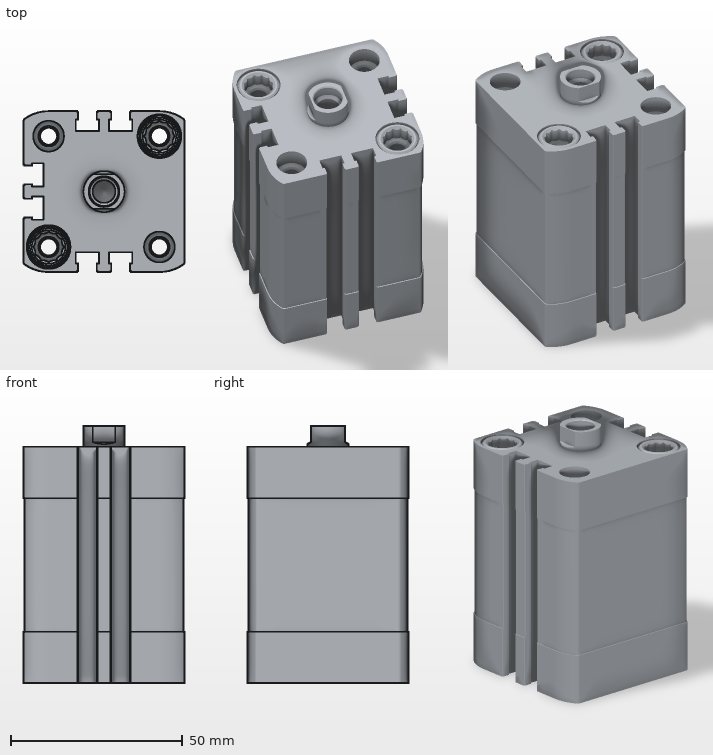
import cadquery as cq
import math

width = 47.0
housing_height = 69.0
rod_projection = 6.0
cap_height = 15.0
barrel_inset = 0.3

hole_spacing = 32.3
corner_arc_radius = 12.0
corner_edge_radius = 1.0

slot_offset = 4.85
slot_mouth_width = 5.4
slot_inner_width = 6.7
slot_lip_depth = 2.55
slot_depth = 5.8
slot_mouth_radius = 0.3

counterbore_diameter = 9.0
counterbore_depth = 5.0
thread_diameter = 4.92
thread_chamfer_diameter = 6.0

head_recess_diameter = 12.8
head_recess_depth = 1.0
head_diameter = 11.9
head_chamfer = 0.5
socket_chamfer_diameter = 9.8
socket_point_diameter = 8.9
socket_tooth_diameter = 8.2
socket_points = 12
socket_depth = 4.4
tooth_tip_width = 0.7

rod_diameter = 12.0
rod_insertion = 21.0
flat_width = 10.0
flat_length = 4.7
flat_shoulder_angle = 30.0
rod_mouth_diameter = 9.0
rod_counterbore_diameter = 8.4
rod_counterbore_depth = 3.3
rod_thread_diameter = 6.65
rod_thread_depth = 12.0
drill_tip_angle = 118.0

half_width = width / 2
hole_offset = hole_spacing / 2
rod_top = housing_height + rod_projection


def revolve_profile(points):
    """Solid of revolution about Z from (radius, z) points."""
    return cq.Workplane("XZ").polyline(points).close().revolve(360, (0, 0), (0, 1))


def slot_cutter(face, height):
    """T-slot along Z, opening toward -Y at y = -face, with rounded mouth edges."""
    mouth = slot_mouth_width / 2
    inner = slot_inner_width / 2
    flare = mouth + slot_mouth_radius
    lip_y = slot_lip_depth - half_width
    floor_y = slot_depth - half_width
    return (
        cq.Workplane("XY")
        .moveTo(-flare, -width)
        .lineTo(-flare, -face)
        .radiusArc((-mouth, slot_mouth_radius - face), slot_mouth_radius)
        .lineTo(-mouth, lip_y)
        .lineTo(-inner, lip_y)
        .lineTo(-inner, floor_y)
        .lineTo(inner, floor_y)
        .lineTo(inner, lip_y)
        .lineTo(mouth, lip_y)
        .lineTo(mouth, slot_mouth_radius - face)
        .radiusArc((flare, -face), slot_mouth_radius)
        .lineTo(flare, -width)
        .close()
        .extrude(height)
    )


def housing_section(base, height, inset):
    """One length of the housing, its outline moved inward by the inset."""
    face = half_width - inset
    radius = corner_arc_radius - inset
    centre_y = half_width - corner_arc_radius
    run = face - hole_offset
    mid_angle = math.asin(run / radius) / 2
    corner_y = centre_y + math.sqrt(radius**2 - run**2)
    mid_x = hole_offset + radius * math.sin(mid_angle)
    mid_y = centre_y + radius * math.cos(mid_angle)

    section = (
        cq.Workplane("XY")
        .moveTo(-hole_offset, face)
        .lineTo(hole_offset, face)
        .threePointArc((mid_x, mid_y), (face, corner_y))
        .lineTo(face, -corner_y)
        .threePointArc((mid_x, -mid_y), (hole_offset, -face))
        .lineTo(-hole_offset, -face)
        .threePointArc((-mid_x, -mid_y), (-face, -corner_y))
        .lineTo(-face, corner_y)
        .threePointArc((-mid_x, mid_y), (-hole_offset, face))
        .close()
        .extrude(height)
        .edges("|Z and (<X or >X)")
        .fillet(corner_edge_radius)
    )
    cutter = slot_cutter(face, height)
    for side_angle in (0, 180, -90):
        for offset in (-slot_offset, slot_offset):
            slot = cutter.translate((offset, 0, 0))
            section = section.cut(slot.rotate((0, 0, 0), (0, 0, 1), side_angle))
    return section.translate((0, 0, base))


def thread_hole(floor_depth):
    """Through hole with a chamfer at the floor of the recess above it."""
    floor_z = housing_height - floor_depth
    radius = thread_diameter / 2
    chamfer_radius = thread_chamfer_diameter / 2
    return revolve_profile([
        (0, 0),
        (radius, 0),
        (radius, floor_z - (chamfer_radius - radius)),
        (chamfer_radius, floor_z),
        (0, floor_z),
    ])


def counterbore():
    """Plain recess above a mounting hole."""
    return (
        cq.Workplane("XY", origin=(0, 0, housing_height - counterbore_depth))
        .circle(counterbore_diameter / 2)
        .extrude(counterbore_depth)
    )


def head_gap():
    """Ring-shaped gap around a screw head with a chamfered rim."""
    outer = head_recess_diameter / 2
    head = head_diameter / 2
    floor_z = housing_height - head_recess_depth
    return revolve_profile([
        (head - head_chamfer, housing_height),
        (outer, housing_height),
        (outer, floor_z),
        (head, floor_z),
        (head, housing_height - head_chamfer),
    ])


def screw_socket():
    """Twelve-point socket with blunt teeth and a conical lead-in."""
    point_radius = socket_point_diameter / 2
    tooth_radius = socket_tooth_diameter / 2
    tip_half_angle = math.asin(tooth_tip_width / 2 / tooth_radius)
    pitch = 2 * math.pi / socket_points
    outline = []
    for index in range(socket_points):
        point_angle = index * pitch
        tooth_angle = point_angle + pitch / 2
        for radius, angle in (
            (point_radius, point_angle),
            (tooth_radius, tooth_angle - tip_half_angle),
            (tooth_radius, tooth_angle + tip_half_angle),
        ):
            outline.append((radius * math.cos(angle), radius * math.sin(angle)))
    socket = (
        cq.Workplane("XY", origin=(0, 0, housing_height - socket_depth))
        .polyline(outline)
        .close()
        .extrude(socket_depth)
    )
    lead_in_radius = socket_chamfer_diameter / 2
    lead_in_end_z = housing_height - (lead_in_radius - tooth_radius)
    lead_in = revolve_profile([
        (0, housing_height),
        (lead_in_radius, housing_height),
        (tooth_radius, lead_in_end_z),
        (0, lead_in_end_z),
    ])
    return socket.union(lead_in)


def make_rod_blank():
    """Plain rod, also used to bore its seat in the housing."""
    return (
        cq.Workplane("XY", origin=(0, 0, housing_height - rod_insertion))
        .circle(rod_diameter / 2)
        .extrude(rod_insertion + rod_projection)
    )


def make_housing():
    """Barrel between two end caps, with slots, mounting holes and rod seat."""
    housing = housing_section(0, cap_height, 0)
    barrel_height = housing_height - 2 * cap_height
    housing = housing.union(housing_section(cap_height, barrel_height, barrel_inset))
    housing = housing.union(housing_section(housing_height - cap_height, cap_height, 0))

    for x_side in (-1, 1):
        for y_side in (-1, 1):
            place = (x_side * hole_offset, y_side * hole_offset, 0)
            if x_side == y_side:
                housing = housing.cut(head_gap().translate(place))
                housing = housing.cut(screw_socket().translate(place))
                floor_depth = socket_depth
            else:
                housing = housing.cut(counterbore().translate(place))
                floor_depth = counterbore_depth
            housing = housing.cut(thread_hole(floor_depth).translate(place))
    return housing.cut(make_rod_blank())


def flat_cutter():
    """Wrench flat on the -Y side of the rod, ending in a sloped shoulder."""
    flat_y = -flat_width / 2
    outer_y = -rod_diameter
    shoulder_z = rod_top - flat_length
    drop = (flat_y - outer_y) * math.tan(math.radians(flat_shoulder_angle))
    return (
        cq.Workplane("YZ")
        .polyline([
            (flat_y, rod_top),
            (flat_y, shoulder_z),
            (outer_y, shoulder_z - drop),
            (outer_y, rod_top),
        ])
        .close()
        .extrude(rod_diameter / 2, both=True)
    )


def rod_bore():
    """Chamfered mouth, counterbore, cone, tapping hole and drill tip."""
    mouth = rod_mouth_diameter / 2
    bore = rod_counterbore_diameter / 2
    thread = rod_thread_diameter / 2
    tip_length = thread / math.tan(math.radians(drill_tip_angle / 2))
    cone_z = rod_top - rod_counterbore_depth
    end_z = rod_top - rod_thread_depth
    return revolve_profile([
        (0, rod_top),
        (mouth, rod_top),
        (bore, rod_top - (mouth - bore)),
        (bore, cone_z),
        (thread, cone_z - (bore - thread)),
        (thread, end_z),
        (0, end_z - tip_length),
    ])


def make_rod():
    """Piston rod with a threaded end and two wrench flats."""
    rod = make_rod_blank().cut(rod_bore())
    for angle in (0, 180):
        rod = rod.cut(flat_cutter().rotate((0, 0, 0), (0, 0, 1), angle))
    return rod


housing = make_housing().solids()
rod = make_rod().solids()
result = cq.Compound.makeCompound([housing.val(), rod.val()])